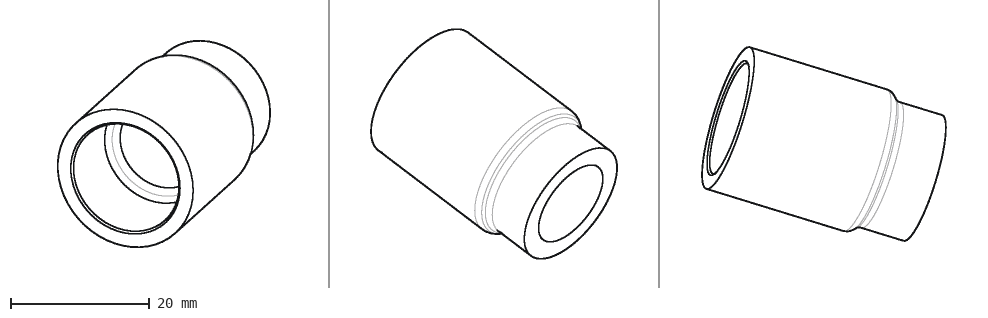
import cadquery as cq
import math

length = 30.0

body_radius = 10.7
spigot_radius = 9.5
spigot_length = 6.57
shoulder_blend_radius = 1.4
shoulder_angle = math.radians(45)

socket_radius = 8.325
socket_depth = 11.33
mouth_chamfer = 0.3
step_radius = 7.475
throat_radius = 6.575
socket_cone_angle = math.radians(52)
throat_cone_angle = math.radians(45)

arc_run = shoulder_blend_radius * math.sin(shoulder_angle)
arc_rise = shoulder_blend_radius * (1 - math.cos(shoulder_angle))
half_arc_run = shoulder_blend_radius * math.sin(shoulder_angle / 2)
half_arc_rise = shoulder_blend_radius * (1 - math.cos(shoulder_angle / 2))
cone_rise = body_radius - spigot_radius - 2 * arc_rise
cone_run = cone_rise / math.tan(shoulder_angle)

concave_start = length - spigot_length
concave_end = concave_start - arc_run
convex_start = concave_end - cone_run
convex_end = convex_start - arc_run

step_depth = socket_depth + (socket_radius - step_radius) / math.tan(socket_cone_angle)
throat_depth = step_depth + (step_radius - throat_radius) / math.tan(throat_cone_angle)


def revolve_about_axis(profile):
    """Turn a half profile, drawn in the XY plane, around the Y axis."""
    return profile.close().revolve(360, (0, 0, 0), (0, 1, 0))


def make_outside():
    """Body and spigot joined by the blended shoulder, without the bore."""
    return revolve_about_axis(
        cq.Workplane("XY")
        .lineTo(body_radius, 0)
        .lineTo(body_radius, convex_end)
        .threePointArc(
            (body_radius - half_arc_rise, convex_end + half_arc_run),
            (body_radius - arc_rise, convex_start),
        )
        .lineTo(spigot_radius + arc_rise, concave_end)
        .threePointArc(
            (spigot_radius + half_arc_rise, concave_start - half_arc_run),
            (spigot_radius, concave_start),
        )
        .lineTo(spigot_radius, length)
        .lineTo(0, length)
    )


def make_bore():
    """Space inside the sleeve: chamfered socket, two cones and the throat."""
    return revolve_about_axis(
        cq.Workplane("XY")
        .lineTo(socket_radius + mouth_chamfer, 0)
        .lineTo(socket_radius, mouth_chamfer)
        .lineTo(socket_radius, socket_depth)
        .lineTo(step_radius, step_depth)
        .lineTo(throat_radius, throat_depth)
        .lineTo(throat_radius, length)
        .lineTo(0, length)
    )


result = make_outside().cut(make_bore())